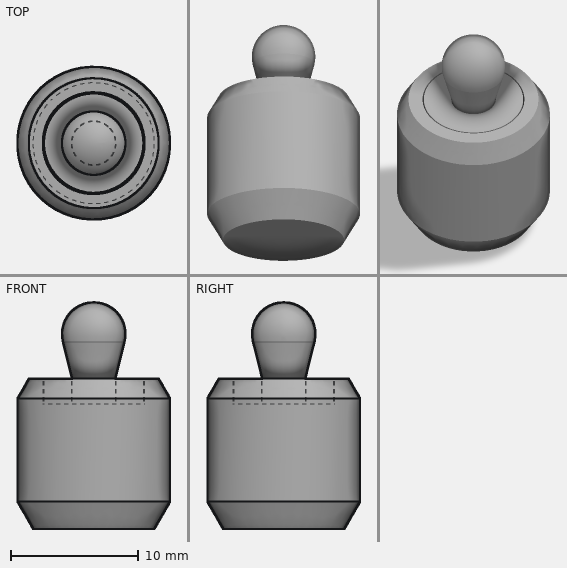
import cadquery as cq
import math

housing_radius = 6.0
housing_height = 11.8
chamfer_angle = 30.0
top_chamfer_width = 0.9
bottom_chamfer_width = 1.25

bore_radius = 4.0
bore_depth = 2.0
disc_gap = 0.1
pin_hole_radius = 1.75

overall_height = 17.8
ball_radius = 2.5
neck_angle = 14.0

disc_radius = bore_radius - disc_gap
bore_floor = housing_height - bore_depth
ball_center = overall_height - ball_radius
tangent_radius = ball_radius * math.cos(math.radians(neck_angle))
tangent_height = ball_center - ball_radius * math.sin(math.radians(neck_angle))
neck_length = tangent_height - housing_height
shank_radius = tangent_radius - neck_length * math.tan(math.radians(neck_angle))


def make_housing():
    """Sleeve with chamfered ends and a blind bore, turned about Z."""
    slope = 1 / math.tan(math.radians(chamfer_angle))
    top_chamfer_start = housing_height - top_chamfer_width * slope
    bottom_chamfer_end = bottom_chamfer_width * slope
    return (
        cq.Workplane("XZ")
        .moveTo(0, 0)
        .lineTo(housing_radius - bottom_chamfer_width, 0)
        .lineTo(housing_radius, bottom_chamfer_end)
        .lineTo(housing_radius, top_chamfer_start)
        .lineTo(housing_radius - top_chamfer_width, housing_height)
        .lineTo(bore_radius, housing_height)
        .lineTo(bore_radius, bore_floor)
        .lineTo(0, bore_floor)
        .close()
        .revolve(360, (0, 0), (0, 1))
    )


def make_disc():
    """Disc standing on the bore floor, flush with the housing top, with a hole for the pin."""
    return (
        cq.Workplane("XY", origin=(0, 0, bore_floor))
        .circle(disc_radius)
        .circle(pin_hole_radius)
        .extrude(bore_depth)
    )


def make_pin():
    """Ball, tangent conical neck and straight shank in one revolved body."""
    arc_angle = math.radians((90 - neck_angle) / 2)
    arc_middle = (
        ball_radius * math.cos(arc_angle),
        ball_center + ball_radius * math.sin(arc_angle),
    )
    return (
        cq.Workplane("XZ")
        .moveTo(0, bore_floor)
        .lineTo(shank_radius, bore_floor)
        .lineTo(shank_radius, housing_height)
        .lineTo(tangent_radius, tangent_height)
        .threePointArc(arc_middle, (0, overall_height))
        .close()
        .revolve(360, (0, 0), (0, 1))
    )


housing = make_housing()
disc = make_disc()
pin = make_pin()

result = cq.Compound.makeCompound([housing.val(), disc.val(), pin.val()])